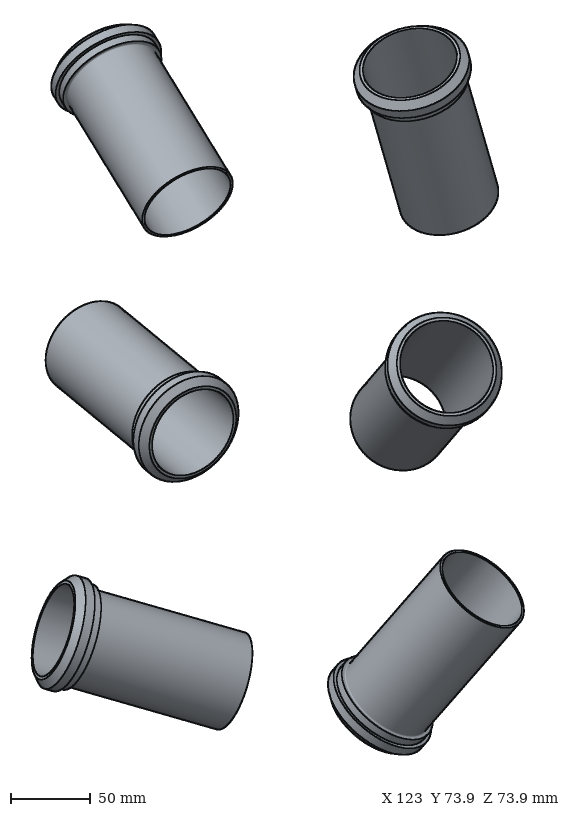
import cadquery as cq

length = 123.0
bore_diameter = 60.2
tube_diameter = 63.5
shoulder_diameter = 68.9
collar_diameter = 73.9

collar_end = 11.2
shoulder_end = 16.7
bevel_length = 4.8
root_fillet = 0.7


def cylinder(diameter, end):
    """Solid cylinder about the X axis, from X = 0 to X = end."""
    return cq.Workplane("YZ").circle(diameter / 2).extrude(end)


body = cylinder(tube_diameter, length).union(cylinder(shoulder_diameter, shoulder_end))
root_edge = cq.selectors.RadiusNthSelector(0)
body = body.faces(">X[-2]").edges(root_edge).fillet(root_fillet)

body = body.union(cylinder(collar_diameter, collar_end))
body = body.faces("<X").edges().chamfer(bevel_length)

result = body.cut(cylinder(bore_diameter, length))